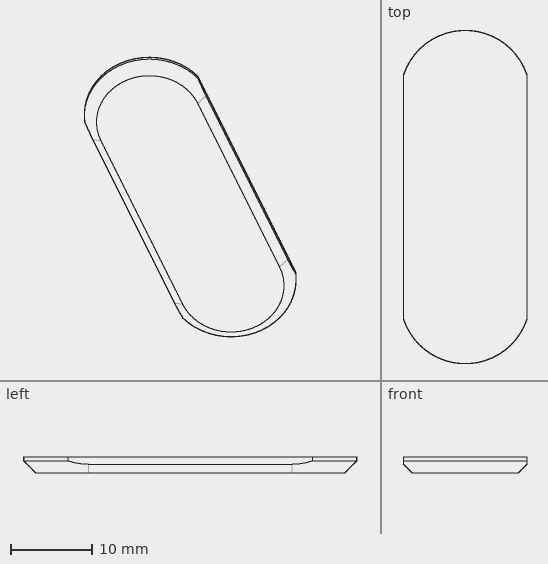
import cadquery as cq

thickness = 2.0
width_across_flats = 15.2
end_radius = 8.0
end_center_spacing = 25.0
rim_height = 0.5

length = end_center_spacing + 2 * end_radius
bevel = thickness - rim_height


def beveled_plate():
    """Round-ended plate along Y whose lower edge is beveled all the way round."""
    plate = cq.Workplane("XY").slot2D(length, 2 * end_radius, angle=90).extrude(thickness)
    return plate.faces("<Z").chamfer(bevel)


def flats_envelope():
    """Block that trims the long sides to two parallel flats."""
    return cq.Workplane("XY").box(width_across_flats, length, thickness, centered=(True, True, False))


result = beveled_plate().intersect(flats_envelope())